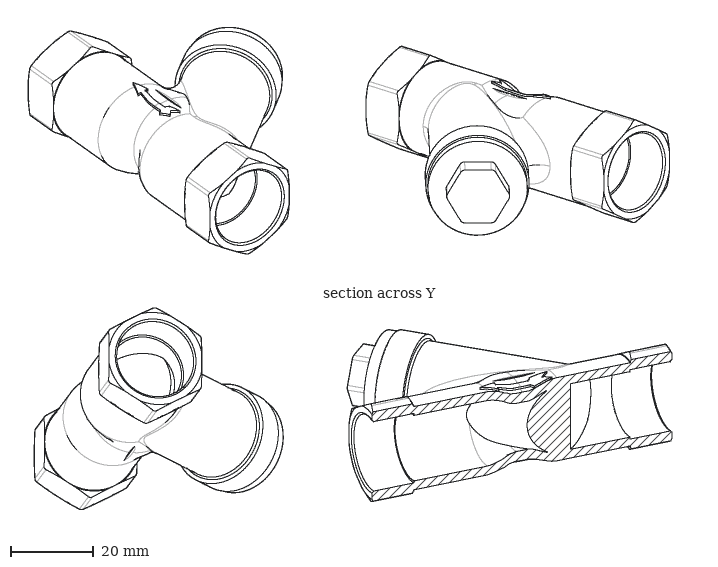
import cadquery as cq
import math

run_length = 79.5
pipe_diameter = 23.0
bore_diameter = 18.05
thread_diameter = 19.1
thread_depth = 11.1
mouth_diameter = 20.0

neck_half_length = 9.15
neck_shift = 3.65
neck_diameter = 21.8
neck_bore_diameter = 17.2
neck_steps = 6
neck_flat_half_length = 1.6
neck_wave_part = 0.94
pinch_limit_y = 2.8

nut_length = 11.1
nut_flats = pipe_diameter
nut_edge_radius = 0.95
nut_face_diameter = 23.4
nut_chamfer = 0.8
nut_chamfer_rise = 1.6

branch_foot_x = 14.9
branch_diameter = 22.0
branch_blend_radius = 4.0
collar_diameter = 25.0
collar_start = 39.75
collar_end = 46.8
collar_ring_height = 0.55
cap_diameter = 24.0
cap_end = 49.85
plug_flats = 13.5
plug_end = 55.8
plug_edge_radius = 1.3

arrow_tip_x = -10.5
arrow_tail_x = 7.95
arrow_y = -0.55
arrow_head_length = 4.45
arrow_half_width = 1.4
arrow_shaft_half_width = 0.6
arrow_tail_length = 5.4
arrow_tail_slope = 0.8
arrow_notch_depth = 2.0
arrow_height = 0.5
arrow_root_z = 9.55

half_length = run_length / 2
branch_plane = cq.Plane(origin=(branch_foot_x, 0, 0), xDir=(0, 0, 1), normal=(-1, 1, 0))


def rod_x(diameter, start, end):
    return cq.Workplane("YZ", origin=(start, 0, 0)).circle(diameter / 2).extrude(end - start)


def branch_rod(diameter, start, end):
    return cq.Workplane(branch_plane).workplane(offset=start).circle(diameter / 2).extrude(end - start)


def hexagon_diameter(flats):
    return flats / math.cos(math.pi / 6)


def neck_blend(x):
    """Share of the pinch reached at x: 1 on the flat middle, falling to 0 along a cosine wave.

    The wave stops short of its trough, so the neck meets the pipe at a slight angle.
    """
    fall = max(0, (abs(x) - neck_flat_half_length) / (neck_half_length - neck_flat_half_length))
    trough = math.cos(math.pi * neck_wave_part)
    return (math.cos(math.pi * neck_wave_part * fall) - trough) / (1 - trough)


def make_neck(end_diameter, middle_diameter):
    """Round bar along X that narrows and swings to +Y towards its middle."""
    half_neck_sections = []
    for step in range(neck_steps + 1):
        x = neck_half_length * step / neck_steps
        blend = neck_blend(x)
        diameter = end_diameter + (middle_diameter - end_diameter) * blend
        section = cq.Workplane("YZ", origin=(x, neck_shift * blend, 0)).circle(diameter / 2)
        half_neck_sections.append(section.val())
    half_neck = cq.Workplane(cq.Solid.makeLoft(half_neck_sections))
    return half_neck.union(half_neck.mirror("YZ"))


def make_nut():
    """Hexagon nut at the -X end, corners up and down, chamfered on both faces."""
    hexagon = (
        cq.Workplane("YZ", origin=(-half_length, 0, 0))
        .polygon(6, hexagon_diameter(nut_flats))
        .extrude(nut_length)
        .rotate((0, 0, 0), (1, 0, 0), 90)
        .edges("|X")
        .fillet(nut_edge_radius)
    )
    face_radius = nut_face_diameter / 2
    outer_radius = face_radius + nut_chamfer_rise
    envelope = (
        cq.Workplane("XY", origin=(-half_length, 0, 0))
        .lineTo(0, face_radius)
        .lineTo(nut_chamfer, outer_radius)
        .lineTo(nut_length - nut_chamfer, outer_radius)
        .lineTo(nut_length, face_radius)
        .lineTo(nut_length, 0)
        .close()
        .revolve(360, (0, 0, 0), (1, 0, 0))
    )
    return hexagon.intersect(envelope)


def make_passages():
    neck_bore = make_neck(bore_diameter, neck_bore_diameter)
    side_bore = rod_x(bore_diameter, -half_length, -neck_half_length)
    mouth_depth = (mouth_diameter - thread_diameter) / 2
    thread = rod_x(thread_diameter, -half_length, -half_length + thread_depth)
    mouth = cq.Workplane(
        cq.Solid.makeCone(
            mouth_diameter / 2, thread_diameter / 2, mouth_depth,
            cq.Vector(-half_length, 0, 0), cq.Vector(1, 0, 0),
        )
    )
    left_bore = side_bore.union(thread).union(mouth)
    return neck_bore.union(left_bore).union(left_bore.mirror("YZ"))


def make_branch_head():
    ring_start = collar_start - collar_ring_height
    ring = cq.Workplane(
        cq.Solid.makeCone(
            branch_diameter / 2, pipe_diameter / 2, collar_ring_height,
            branch_plane.toWorldCoords((0, 0, ring_start)), branch_plane.zDir,
        )
    )
    collar = branch_rod(collar_diameter, collar_start, collar_end)
    cap = branch_rod(cap_diameter, collar_end, cap_end)
    plug = (
        cq.Workplane(branch_plane)
        .workplane(offset=cap_end)
        .transformed(rotate=(0, 0, 90))
        .polygon(6, hexagon_diameter(plug_flats))
        .extrude(plug_end - cap_end)
        .edges(cq.selectors.ParallelDirSelector(branch_plane.zDir))
        .fillet(plug_edge_radius)
    )
    return ring.union(collar).union(cap).union(plug)


def make_shell():
    """Solid outside of pipe, neck and branch, with a round blend along the branch joint."""
    pipe = rod_x(pipe_diameter, -half_length, half_length)
    neck = make_neck(pipe_diameter, neck_diameter)
    pinch_block = (
        cq.Workplane("XY", origin=(0, pinch_limit_y, 0))
        .box(2 * neck_half_length, pipe_diameter, 2 * pipe_diameter, centered=(True, False, True))
        .translate((0, -pipe_diameter, 0))
    )
    pinch = pinch_block.cut(neck).cut(branch)
    joined = pipe.union(branch).edges("%BSPLINE").fillet(branch_blend_radius)
    return joined.cut(pinch).union(neck)


def make_arrow():
    """Flow arrow with a notched tail, raised by an even height above the +Z side of the neck."""
    head_end = arrow_tip_x + arrow_head_length
    tail_start = arrow_tail_x - arrow_tail_length
    upper_half = [
        (arrow_tip_x, 0),
        (head_end, arrow_half_width),
        (head_end, arrow_shaft_half_width),
        (tail_start, arrow_shaft_half_width),
        (tail_start + arrow_tail_slope, arrow_half_width),
        (arrow_tail_x, arrow_half_width),
        (arrow_tail_x - arrow_notch_depth, 0),
    ]
    lower_half = [(x, -y) for x, y in reversed(upper_half[1:-1])]
    prism = (
        cq.Workplane("XY", origin=(0, arrow_y, arrow_root_z))
        .polyline(upper_half + lower_half)
        .close()
        .extrude(pipe_diameter)
    )
    skin_growth = 2 * arrow_height
    skin_neck = make_neck(pipe_diameter + skin_growth, neck_diameter + skin_growth)
    skin_end = rod_x(pipe_diameter + skin_growth, -half_length, -neck_half_length)
    return prism.intersect(skin_neck.union(skin_end))


branch = branch_rod(branch_diameter, 0, collar_start)
passages = make_passages()
left_nut = make_nut()

outside = make_shell().union(left_nut).union(left_nut.mirror("YZ"))
bored = outside.cut(passages)
result = bored.union(branch).union(make_branch_head()).union(make_arrow())